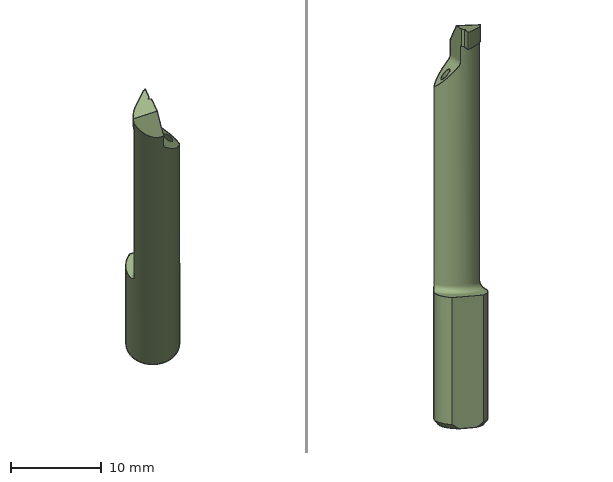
import cadquery as cq
import math

total_length = 45.0
shank_radius = 2.992
flat_x = -2.362
shank_length = 15.0
end_chamfer_width = 0.45
end_chamfer_height = 0.55

neck_left_x = -0.472
neck_edge_x = 1.328
neck_edge_y = math.sqrt(shank_radius**2 - neck_edge_x**2)
neck_sagitta = neck_edge_x - neck_left_x
neck_radius = (neck_sagitta**2 + neck_edge_y**2) / (2 * neck_sagitta)
neck_center_x = neck_left_x + neck_radius
root_fillet = 0.75

hook_height = 2.0
tip_width = 0.3
tip_setback = 0.2
flank_end = (-0.55, -1.85)
relief_angle = 2.5
corner_chamfer = shank_radius - 0.95

rake_y = 0.2
tip_face_y = 0.0
tip_face_end_x = -1.15
chip_groove_bottom = (-1.0, -0.2)
rake_start_x = -0.8
ramp_root_z = 40.95
ramp_rise = 2.55
ramp_run = 2.3
ramp_fillet = 0.9

coolant_x = 1.05
coolant_y = 1.45
coolant_diameter = 1.0


def make_blank():
    """Full-length round bar with a tapered lower end."""
    bar = cq.Workplane("XY").circle(shank_radius).extrude(total_length)
    return bar.faces("<Z").chamfer(end_chamfer_height, end_chamfer_width)


def make_neck_envelope():
    """Round column bounding the neck, flared into the shank by a root fillet."""
    flare_radius = neck_radius + root_fillet
    arc_offset = root_fillet * (1 - math.sqrt(0.5))
    profile = (
        cq.Workplane("XZ")
        .moveTo(0, shank_length)
        .lineTo(flare_radius, shank_length)
        .threePointArc(
            (neck_radius + arc_offset, shank_length + arc_offset),
            (neck_radius, shank_length + root_fillet),
        )
        .lineTo(neck_radius, total_length)
        .lineTo(0, total_length)
        .close()
    )
    return profile.revolve(360, (0, 0, 0), (0, 1, 0)).translate((neck_center_x, 0, 0))


def make_flat_shank():
    """Half-space block that leaves the locating flat along the shank."""
    return cq.Workplane("XY").box(
        shank_radius - flat_x, 2 * shank_radius, shank_length, centered=False
    ).translate((flat_x, -shank_radius, 0))


def make_hook():
    """Cutting hook with a straight flank and an underside rising away from the rake face."""
    outline = (
        cq.Workplane("XY")
        .moveTo(flat_x, tip_face_y)
        .lineTo(flat_x + tip_setback, tip_face_y - tip_width)
        .lineTo(*flank_end)
        .tangentArcPoint((neck_edge_x, -neck_edge_y), relative=False)
        .lineTo(neck_edge_x, rake_y)
        .lineTo(rake_start_x, rake_y)
        .lineTo(*chip_groove_bottom)
        .lineTo(tip_face_end_x, tip_face_y)
        .close()
        .extrude(total_length)
    )
    relief_rise = 2 * shank_radius * math.tan(math.radians(relief_angle))
    underside_z = total_length - hook_height
    band = (
        cq.Workplane("YZ")
        .polyline([
            (rake_y, underside_z),
            (rake_y, total_length),
            (rake_y - 2 * shank_radius, total_length),
            (rake_y - 2 * shank_radius, underside_z + relief_rise),
        ])
        .close()
        .extrude(shank_radius, both=True)
    )
    return outline.intersect(band)


def make_rake_cut():
    """Space behind the rake face, running out along a filleted ramp."""
    ramp_end_y = rake_y + 2 * ramp_run
    ramp_end_z = ramp_root_z - 2 * ramp_rise
    space = (
        cq.Workplane("YZ")
        .polyline([
            (rake_y, total_length),
            (rake_y, ramp_root_z),
            (ramp_end_y, ramp_end_z),
            (ramp_end_y, total_length),
        ])
        .close()
        .extrude(shank_radius, both=True)
    )
    root = cq.selectors.NearestToPointSelector((0, rake_y, ramp_root_z))
    return space.edges(root).fillet(ramp_fillet)


def make_top_cut():
    """Space above the top face and its 45 degree corner, both sloping down from the rake face."""
    clearance = shank_radius
    corner_x = shank_radius - corner_chamfer
    space = (
        cq.Workplane("XZ")
        .polyline([
            (-shank_radius, total_length),
            (corner_x, total_length),
            (corner_x + 2 * corner_chamfer, total_length - 2 * corner_chamfer),
            (corner_x + 2 * corner_chamfer, total_length + clearance),
            (-shank_radius, total_length + clearance),
        ])
        .close()
        .extrude(2 * shank_radius, both=True)
    )
    pivot = (0, rake_y, total_length)
    return space.rotate(pivot, (1, rake_y, total_length), relief_angle)


coolant_hole = (
    cq.Workplane("XY")
    .center(coolant_x, coolant_y)
    .circle(coolant_diameter / 2)
    .extrude(total_length)
)

envelope = make_flat_shank().union(make_neck_envelope())
body = make_blank().intersect(envelope).cut(make_rake_cut())
body = body.union(make_hook())
result = body.cut(make_top_cut()).cut(coolant_hole)